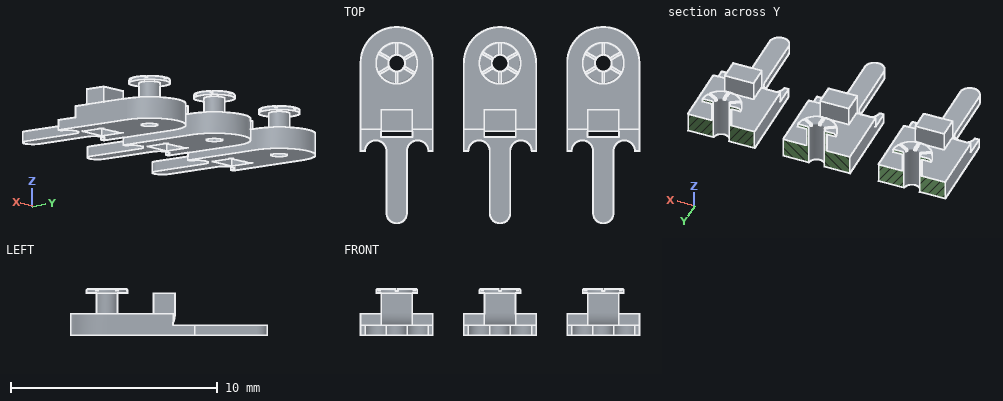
import cadquery as cq
import math

clip_count = 3
row_length = 13.5
clip_width = 3.51
clip_pitch = (row_length - clip_width) / (clip_count - 1)
clip_length = 9.5
clip_height = 2.25

plate_thickness = 1.05
lip_thickness = 0.5
back_radius = clip_width / 2
eye_y = clip_length - back_radius
step_y = 4.55
lip_front_y = 3.5

tail_width = 1.0
notch_diameter = 1.03
notch_x = (tail_width + notch_diameter) / 2

tab_width = 1.51
tab_back_y = 5.51
tab_height = 2.05
bend_radius = plate_thickness
tab_front_y = tab_back_y - bend_radius
window_front_y = 4.18

stem_diameter = 1.03
bore_diameter = 0.8
head_diameter = 2.0
head_thickness = 0.2
head_edge_radius = 0.1
groove_count = 6
groove_width = 0.11
groove_depth = 0.1


def make_plate():
    """Round-backed plate with the thin lip and its two notches."""
    half_width = clip_width / 2
    plate = (
        cq.Workplane("XY")
        .moveTo(-half_width, lip_front_y)
        .lineTo(-half_width, eye_y)
        .threePointArc((0, clip_length), (half_width, eye_y))
        .lineTo(half_width, lip_front_y)
        .close()
        .extrude(plate_thickness)
    )
    above_lip = (
        cq.Workplane("XY", origin=(0, 0, lip_thickness))
        .rect(clip_width, 2 * step_y)
        .extrude(plate_thickness)
    )
    notches = (
        cq.Workplane("XY")
        .pushPoints([(-notch_x, lip_front_y), (notch_x, lip_front_y)])
        .circle(notch_diameter / 2)
        .extrude(plate_thickness)
    )
    return plate.cut(above_lip).cut(notches)


def make_tail():
    """Thin straight tail with a fully rounded tip at Y = 0."""
    half_width = tail_width / 2
    return (
        cq.Workplane("XY")
        .moveTo(-half_width, lip_front_y)
        .lineTo(-half_width, half_width)
        .threePointArc((0, 0), (half_width, half_width))
        .lineTo(half_width, lip_front_y)
        .close()
        .extrude(lip_thickness)
    )


def make_window():
    """Opening left in the plate by the tab that is bent out of it."""
    return (
        cq.Workplane("XY")
        .rect(tab_width, tab_back_y - window_front_y)
        .extrude(plate_thickness)
        .translate((0, (tab_back_y + window_front_y) / 2, 0))
    )


def make_tab():
    """Upright tab whose lower front is a quarter-round bend."""
    diagonal = bend_radius * math.sqrt(0.5)
    bend_middle = (tab_back_y - diagonal, plate_thickness - diagonal)
    return (
        cq.Workplane("YZ", origin=(-tab_width / 2, 0, 0))
        .moveTo(tab_back_y, 0)
        .threePointArc(bend_middle, (tab_front_y, plate_thickness))
        .lineTo(tab_front_y, tab_height)
        .lineTo(tab_back_y, tab_height)
        .close()
        .extrude(tab_width)
    )


def make_rivet():
    """Stem and head, before boring."""
    stem = (
        cq.Workplane("XY", origin=(0, eye_y, plate_thickness))
        .circle(stem_diameter / 2)
        .extrude(clip_height - head_thickness - plate_thickness)
    )
    head = (
        cq.Workplane("XY", origin=(0, eye_y, clip_height - head_thickness))
        .circle(head_diameter / 2)
        .circle(bore_diameter / 2)
        .extrude(head_thickness)
        .faces(">Z")
        .edges()
        .fillet(head_edge_radius)
    )
    for index in range(groove_count // 2):
        groove = (
            cq.Workplane("XY", origin=(0, 0, clip_height - groove_depth))
            .rect(groove_width, head_diameter)
            .extrude(groove_depth)
            .rotate((0, 0, 0), (0, 0, 1), index * 360 / groove_count)
            .translate((0, eye_y, 0))
        )
        head = head.cut(groove)
    return stem.union(head)


def make_clip():
    """One complete clip, centred on X = 0."""
    bore = (
        cq.Workplane("XY", origin=(0, eye_y, 0))
        .circle(bore_diameter / 2)
        .extrude(clip_height)
    )
    sheet = make_plate().union(make_tail()).cut(make_window())
    return sheet.union(make_tab()).union(make_rivet()).cut(bore)


clip = make_clip()
clips = []
for position in range(clip_count):
    clip_x = (position - (clip_count - 1) / 2) * clip_pitch
    clips.append(clip.translate((clip_x, 0, 0)).val())

result = cq.Compound.makeCompound(clips)